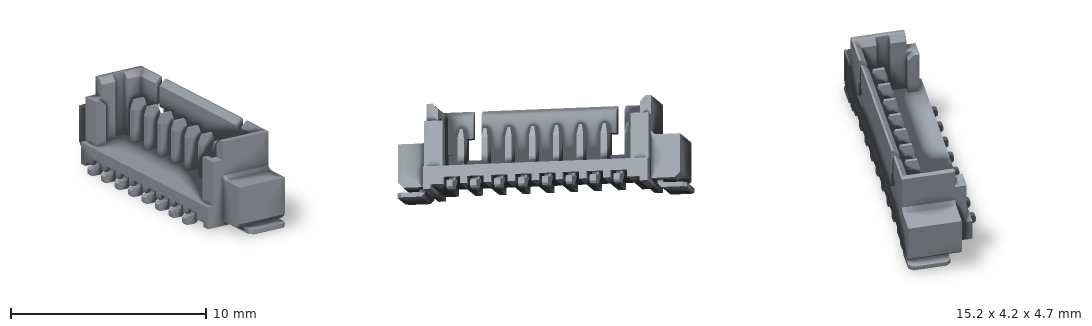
import cadquery as cq


total_length = 15.15
total_depth = 4.2
total_height = 4.7

pin_count = 8
pin_pitch = 1.25
pin_width = 0.33
pin_back_y = -0.71
pin_front_y = -1.56
pin_shoulder_z = 3.06
pin_tip_z = 3.59
pin_tip_width = 0.15
pin_tip_depth = 0.59
foot_height = 0.47
foot_chamfer = 0.1
foot_heel_y = -3.59
foot_rise = 0.83

body_half = 5.88
body_bottom = 0.33
floor_z = 1.29
base_front_y = -3.71
wall_front_y = -2.8
arm_front_y = -3.41
arm_top = 3.7
arm_inner_x = 4.92
arm_chamfer = 0.3
cavity_half = 5.29
back_wall = 0.41
lead_in = 0.3
groove_depth = 0.32
groove_back_y = -1.23
groove_front_y = -1.95
standoff_width = 0.41
standoff_bottom = 0.1
tunnel_width = 0.86
tunnel_top = 0.7

opening_x = pin_pitch * (pin_count - 2) / 2
slot_width = 0.41
window_width = 1.06
window_bottom = 2.1
window_top = 3.24

mark_inner_x = -4.65
mark_bottom = 1.6
mark_top = 2.44
mark_depth = 0.08

block_end_x = 7.4
block_bottom = 0.38
block_top = 2.65
block_root_chamfer = 0.2
block_chamfer = 0.27
tab_depth = 2.21
tab_thickness = 0.24
tab_inner_x = 6.08
tab_bend_x = 6.38
tab_chamfer = 0.21


def span_box(x0, x1, y0, y1, z0, z1):
    """Box between two opposite corners."""
    box = cq.Workplane("XY").box(x1 - x0, y1 - y0, z1 - z0, centered=False)
    return box.translate((x0, y0, z0))


def x_prism(points, x0, x1):
    """Extrude a (Y, Z) outline between two X positions."""
    return cq.Workplane("YZ").polyline(points).close().extrude(x1 - x0).translate((x0, 0, 0))


def y_prism(points, depth):
    """Extrude an (X, Z) outline forward from the back face."""
    return cq.Workplane("XZ").polyline(points).close().extrude(depth)


def both_ends(right_half):
    """A shape at the +X end together with its mirror image."""
    return right_half.union(right_half.mirror("YZ"))


def make_shell():
    """Stepped block hollowed out from above, open to the front."""
    shell = x_prism(
        [
            (0, body_bottom),
            (0, total_height),
            (wall_front_y, total_height),
            (wall_front_y, arm_top),
            (arm_front_y, arm_top),
            (arm_front_y, floor_z),
            (base_front_y, floor_z),
            (base_front_y, body_bottom),
        ],
        -body_half,
        body_half,
    )
    cavity = span_box(-cavity_half, cavity_half, wall_front_y, -back_wall, floor_z, total_height)
    mouth = span_box(-arm_inner_x, arm_inner_x, base_front_y, wall_front_y, floor_z, total_height)
    cavity_width = 2 * cavity_half
    flare_depth = -back_wall - base_front_y
    flare = (
        cq.Workplane("XY", origin=(0, (base_front_y - back_wall) / 2, total_height - lead_in))
        .rect(cavity_width, flare_depth)
        .workplane(offset=lead_in)
        .rect(cavity_width + 2 * lead_in, flare_depth + 2 * lead_in)
        .loft()
    )
    shell = shell.cut(cavity).cut(mouth).cut(flare)

    groove = span_box(
        cavity_half, cavity_half + groove_depth, groove_front_y, groove_back_y, floor_z, total_height
    )
    arm_bevel = x_prism(
        [
            (wall_front_y, arm_top),
            (wall_front_y - arm_chamfer, arm_top),
            (wall_front_y, arm_top - arm_chamfer),
        ],
        arm_inner_x,
        cavity_half,
    )
    return shell.cut(both_ends(groove)).cut(both_ends(arm_bevel))


def back_openings():
    """Keyhole openings: a narrow slot from the top widening into a window."""
    window = span_box(
        opening_x - window_width / 2, opening_x + window_width / 2, -back_wall, 0, window_bottom, window_top
    )
    slot = span_box(
        opening_x - slot_width / 2, opening_x + slot_width / 2, -back_wall, 0, window_top, total_height
    )
    return both_ends(window.union(slot))


def back_mark():
    """Shallow recess in the inner face of the back wall."""
    return span_box(
        -cavity_half, mark_inner_x, -back_wall, mark_depth - back_wall, mark_bottom, mark_top
    )


def standoffs():
    """Strips under both ends of the base."""
    return both_ends(
        span_box(body_half - standoff_width, body_half, base_front_y, 0, standoff_bottom, body_bottom)
    )


def end_blocks():
    """Blocks on the end walls that hold the solder tabs."""
    outline = [
        (body_half, block_bottom),
        (block_end_x - block_chamfer, block_bottom),
        (block_end_x, block_bottom + block_chamfer),
        (block_end_x, block_top),
        (body_half + block_root_chamfer, block_top),
        (body_half, block_top + block_root_chamfer),
    ]
    return both_ends(y_prism(outline, -wall_front_y))


def solder_tabs():
    """Bent strips under the end blocks, with chamfered outer corners."""
    tip_x = total_length / 2
    outline = [
        (tab_inner_x, block_bottom),
        (tab_inner_x, tab_chamfer),
        (tab_inner_x + tab_chamfer, 0),
        (tip_x, 0),
        (tip_x, tab_thickness),
        (tab_bend_x, tab_thickness),
        (tab_bend_x, block_bottom),
    ]
    tab = y_prism(outline, tab_depth).edges("|Z and >X").chamfer(tab_chamfer)
    return both_ends(tab)


def tunnel(x):
    """Channel under the base for one lead."""
    return span_box(x - tunnel_width / 2, x + tunnel_width / 2, base_front_y, 0, body_bottom, tunnel_top)


def contact(x):
    """Upright pin with a tapered tip, and its soldering foot at the front."""
    left = x - pin_width / 2
    right = x + pin_width / 2
    post = span_box(left, right, pin_front_y, pin_back_y, tunnel_top, pin_shoulder_z)
    tip = (
        cq.Workplane("XY", origin=(x, (pin_front_y + pin_back_y) / 2, pin_shoulder_z))
        .rect(pin_width, pin_back_y - pin_front_y)
        .workplane(offset=pin_tip_z - pin_shoulder_z)
        .rect(pin_tip_width, pin_tip_depth)
        .loft()
    )
    foot = x_prism(
        [
            (foot_heel_y + foot_rise, foot_rise),
            (foot_heel_y, 0),
            (foot_chamfer - total_depth, 0),
            (-total_depth, foot_chamfer),
            (-total_depth, foot_height - foot_chamfer),
            (foot_chamfer - total_depth, foot_height),
            (base_front_y, foot_height),
            (base_front_y + foot_rise - foot_height, foot_rise),
        ],
        left,
        right,
    )
    return post.union(tip).union(foot)


pin_positions = [(i - (pin_count - 1) / 2) * pin_pitch for i in range(pin_count)]

result = make_shell().cut(back_openings()).cut(back_mark())
for pin_x in pin_positions:
    result = result.cut(tunnel(pin_x)).union(contact(pin_x))
result = result.union(standoffs()).union(end_blocks()).union(solder_tabs())